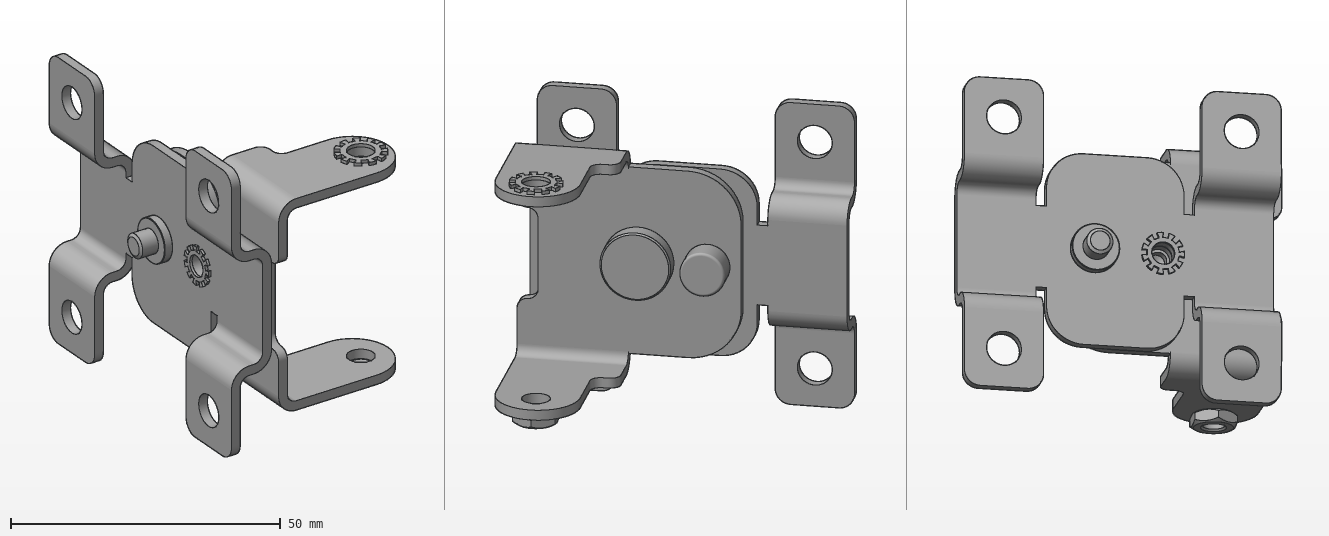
import cadquery as cq
import math


SHEET = 2.0
BEND_INNER = 2.0
BEND_OUTER = BEND_INNER + SHEET
SMALL_RADIUS = 2.0

MOUNT_LENGTH = 60.0
MOUNT_HEIGHT = 60.0
MOUNT_BACK_Y = 9.0
MOUNT_FRONT_Y = MOUNT_BACK_Y - SHEET
WEB_OUTER_Z = 13.0
FOOT_WIDTH = 15.0
FOOT_CORNER = 3.0
FOOT_HOLE_RADIUS = 3.3
FOOT_HOLE_Z = MOUNT_HEIGHT / 2 - FOOT_WIDTH / 2
RELIEF_WIDTH = 2.0
RELIEF_BOTTOM_Z = 7.95
PANEL_HEIGHT = 37.1
PANEL_CORNER = 7.0

PLATE_GAP = 0.25
BRACKET_FRONT_Y = MOUNT_BACK_Y + PLATE_GAP
BRACKET_BACK_Y = BRACKET_FRONT_Y + SHEET
BRACKET_LEFT_X = 19.6
BRACKET_RIGHT_X = 62
BRACKET_CORNER = 10.05
FLANGE_OUTER_Z = 22.2
FLANGE_TIP_Y = 39.25
FLANGE_BASE_X = 40.9
ARM_WIDTH = 16.0
ARM_SHOULDER_Y = 20.2
WINDOW_HALF_HEIGHT = 9.05
WINDOW_DEPTH = 2 * SMALL_RADIUS
FLANGE_HOLE_RADIUS = 2.65
FLANGE_HOLE_TO_TIP = 6.1
FLANGE_HOLE_X = BRACKET_RIGHT_X - ARM_WIDTH / 2
FLANGE_HOLE_Y = FLANGE_TIP_Y - FLANGE_HOLE_TO_TIP

SCREW_X = 26.0
SCREW_RADIUS = 2.5
SCREW_TIP_Y = 1.25
SCREW_TIP_LENGTH = 0.4
SCREW_TIP_INSET = 0.6
SCREW_HEAD_RADIUS = 4.3
SCREW_HEAD_HEIGHT = 5.1
SCREW_HEAD_FILLET = 0.5
WASHER_RADIUS = 4.5
WASHER_THICKNESS = 1.85
WASHER_CHAMFER = 0.1

BOSS_X = 39.0
BOSS_RADIUS = 6.7
BOSS_HEIGHT = 3.35
BOSS_CHAMFER = 0.3
BOSS_DRILL_RADIUS = 1.6
BOSS_DRILL_DEPTH = 1.85
BOSS_CLEARANCE_RADIUS = 2.2
DRILL_POINT_ANGLE = 118

TOOTH_COUNT = 11
BOSS_LOCK_RADIUS = 4.0
BOSS_LOCK_ROOT = 3.05
BOSS_LOCK_SLOT = 1.05
BOSS_LOCK_THICKNESS = 0.55
FLANGE_LOCK_RADIUS = 5.0
FLANGE_LOCK_ROOT = 3.85
FLANGE_LOCK_SLOT = 1.35
FLANGE_LOCK_THICKNESS = 0.7

NUT_ACROSS_FLATS = 8.05
NUT_THICKNESS = 2.6
NUT_BORE_RADIUS = 2.05
NUT_COUNTERSINK = 0.4
NUT_FACE_RADIUS = 3.7
NUT_CHAMFER_ANGLE = 35

BOTH_SIDES = (1, -1)


def cylinder_y(radius, x, y_start, y_end):
    """Cylinder along Y at Z = 0."""
    axis_start = cq.Vector(x, y_start, 0)
    return cq.Workplane(cq.Solid.makeCylinder(radius, y_end - y_start, axis_start, cq.Vector(0, 1, 0)))


def plate_y(x_start, x_end, z_start, z_end, y_start, y_end):
    """Rectangular block given by its limits on each axis."""
    size = (x_end - x_start, y_end - y_start, z_end - z_start)
    return cq.Workplane("XY").box(*size, centered=False).translate((x_start, y_start, z_start))


def step_strip(x_start):
    """Strip with two feet: a flat middle, stepped forward to a foot above and below."""
    foot_bend_z = WEB_OUTER_Z - SHEET + BEND_OUTER
    plate_bend_z = WEB_OUTER_Z - BEND_OUTER
    foot_end_z = MOUNT_HEIGHT / 2
    slant = math.sqrt(0.5)
    foot_centre = (BEND_OUTER, foot_bend_z)
    plate_centre = (MOUNT_BACK_Y - BEND_OUTER, plate_bend_z)

    def foot_bend(radius):
        return (foot_centre[0] - radius * slant, foot_centre[1] - radius * slant)

    def plate_bend(radius):
        return (plate_centre[0] + radius * slant, plate_centre[1] + radius * slant)

    upper_half = (
        cq.Workplane("YZ", origin=(x_start, 0, 0))
        .moveTo(MOUNT_BACK_Y, 0)
        .lineTo(MOUNT_BACK_Y, plate_bend_z)
        .threePointArc(plate_bend(BEND_OUTER), (plate_centre[0], WEB_OUTER_Z))
        .lineTo(foot_centre[0], WEB_OUTER_Z)
        .threePointArc(foot_bend(BEND_INNER), (SHEET, foot_bend_z))
        .lineTo(SHEET, foot_end_z)
        .lineTo(0, foot_end_z)
        .lineTo(0, foot_bend_z)
        .threePointArc(foot_bend(BEND_OUTER), (foot_centre[0], WEB_OUTER_Z - SHEET))
        .lineTo(plate_centre[0], WEB_OUTER_Z - SHEET)
        .threePointArc(plate_bend(BEND_INNER), (MOUNT_FRONT_Y, plate_bend_z))
        .lineTo(MOUNT_FRONT_Y, 0)
        .close()
        .extrude(FOOT_WIDTH)
    )
    strip = upper_half.union(upper_half.mirror("XY"))
    strip = strip.edges("(<Z or >Z) and |Y").fillet(FOOT_CORNER)
    for side in BOTH_SIDES:
        strip = strip.cut(
            cylinder_y(FOOT_HOLE_RADIUS, x_start + FOOT_WIDTH / 2, 0, SHEET)
            .translate((0, 0, side * FOOT_HOLE_Z))
        )
    return strip


def make_mounting_plate():
    """Flat panel carrying four stepped feet, drilled for the screw and for access to the boss."""
    panel_start = FOOT_WIDTH + RELIEF_WIDTH
    panel = plate_y(
        panel_start, MOUNT_LENGTH - panel_start,
        -PANEL_HEIGHT / 2, PANEL_HEIGHT / 2, MOUNT_FRONT_Y, MOUNT_BACK_Y,
    ).edges("|Y").fillet(PANEL_CORNER)
    spine = plate_y(0, MOUNT_LENGTH, -RELIEF_BOTTOM_Z, RELIEF_BOTTOM_Z, MOUNT_FRONT_Y, MOUNT_BACK_Y)
    plate = panel.union(spine)
    for x_start in (0, MOUNT_LENGTH - FOOT_WIDTH):
        plate = plate.union(step_strip(x_start))
    plate = plate.cut(cylinder_y(SCREW_RADIUS, SCREW_X, MOUNT_FRONT_Y, MOUNT_BACK_Y))
    return plate.cut(cylinder_y(BOSS_CLEARANCE_RADIUS, BOSS_X, MOUNT_FRONT_Y, MOUNT_BACK_Y))


def bracket_channel():
    """U profile in YZ, extruded over the width of the flange roots."""
    flange_inner_z = FLANGE_OUTER_Z - SHEET
    outer = plate_y(
        FLANGE_BASE_X, BRACKET_RIGHT_X, -FLANGE_OUTER_Z, FLANGE_OUTER_Z, BRACKET_FRONT_Y, FLANGE_TIP_Y,
    ).edges("<Y and |X").fillet(BEND_OUTER)
    inner = plate_y(
        FLANGE_BASE_X, BRACKET_RIGHT_X, -flange_inner_z, flange_inner_z, BRACKET_BACK_Y, FLANGE_TIP_Y,
    ).edges("<Y and |X").fillet(BEND_INNER)
    return outer.cut(inner)


def flange_outline():
    """Prism with the outline of both flanges seen along Z: root, shoulder and round-ended arm."""
    arm_radius = ARM_WIDTH / 2
    arm_left_x = BRACKET_RIGHT_X - ARM_WIDTH
    return (
        cq.Workplane("XY", origin=(0, 0, -FLANGE_OUTER_Z))
        .moveTo(FLANGE_BASE_X, BRACKET_FRONT_Y)
        .lineTo(BRACKET_RIGHT_X, BRACKET_FRONT_Y)
        .lineTo(BRACKET_RIGHT_X, FLANGE_TIP_Y - arm_radius)
        .threePointArc((FLANGE_HOLE_X, FLANGE_TIP_Y), (arm_left_x, FLANGE_TIP_Y - arm_radius))
        .lineTo(arm_left_x, ARM_SHOULDER_Y + SMALL_RADIUS)
        .radiusArc((arm_left_x - SMALL_RADIUS, ARM_SHOULDER_Y), SMALL_RADIUS)
        .lineTo(FLANGE_BASE_X + SMALL_RADIUS, ARM_SHOULDER_Y)
        .radiusArc((FLANGE_BASE_X, ARM_SHOULDER_Y - SMALL_RADIUS), -SMALL_RADIUS)
        .close()
        .extrude(2 * FLANGE_OUTER_Z)
    )


def bracket_window():
    """Notch in the right edge of the bracket plate, with an S-shaped top and bottom end."""
    mouth_half = WINDOW_HALF_HEIGHT + SMALL_RADIUS
    inner_x = BRACKET_RIGHT_X - WINDOW_DEPTH
    throat_x = BRACKET_RIGHT_X - SMALL_RADIUS
    end_half = WINDOW_HALF_HEIGHT - SMALL_RADIUS
    return (
        cq.Workplane("XZ", origin=(0, BRACKET_BACK_Y, 0))
        .moveTo(BRACKET_RIGHT_X, -mouth_half)
        .lineTo(BRACKET_RIGHT_X, mouth_half)
        .radiusArc((throat_x, WINDOW_HALF_HEIGHT), SMALL_RADIUS)
        .radiusArc((inner_x, end_half), -SMALL_RADIUS)
        .lineTo(inner_x, -end_half)
        .radiusArc((throat_x, -WINDOW_HALF_HEIGHT), -SMALL_RADIUS)
        .radiusArc((BRACKET_RIGHT_X, -mouth_half), SMALL_RADIUS)
        .close()
        .extrude(SHEET)
    )


def make_bracket():
    """Plate behind the mounting plate with two flanges bent backwards."""
    plate = plate_y(
        BRACKET_LEFT_X, FLANGE_BASE_X, -PANEL_HEIGHT / 2, PANEL_HEIGHT / 2, BRACKET_FRONT_Y, BRACKET_BACK_Y,
    ).edges("<X and |Y").fillet(BRACKET_CORNER)
    flanges = bracket_channel().intersect(flange_outline())
    bracket = plate.union(flanges).cut(bracket_window())
    bracket = bracket.cut(cylinder_y(SCREW_RADIUS, SCREW_X, BRACKET_FRONT_Y, BRACKET_BACK_Y))
    bracket = bracket.cut(cylinder_y(BOSS_CLEARANCE_RADIUS, BOSS_X, BRACKET_FRONT_Y, BRACKET_BACK_Y))
    flange_holes = (
        cq.Workplane("XY", origin=(FLANGE_HOLE_X, FLANGE_HOLE_Y, -FLANGE_OUTER_Z))
        .circle(FLANGE_HOLE_RADIUS)
        .extrude(2 * FLANGE_OUTER_Z)
    )
    return bracket.cut(flange_holes)


def make_screw():
    """Cylinder-head screw, its head on the bracket and its tip at the front."""
    head_end_y = BRACKET_BACK_Y + SCREW_HEAD_HEIGHT
    head = cylinder_y(SCREW_HEAD_RADIUS, SCREW_X, BRACKET_BACK_Y, head_end_y)
    head = head.faces(">Y").edges().fillet(SCREW_HEAD_FILLET)
    shank = cylinder_y(SCREW_RADIUS, SCREW_X, SCREW_TIP_Y, BRACKET_BACK_Y)
    shank = shank.faces("<Y").edges().chamfer(SCREW_TIP_LENGTH, SCREW_TIP_INSET)
    return head.union(shank)


def make_screw_washer():
    """Plain thick washer around the screw, against the front of the mounting plate."""
    washer = cylinder_y(WASHER_RADIUS, SCREW_X, MOUNT_FRONT_Y - WASHER_THICKNESS, MOUNT_FRONT_Y)
    washer = washer.edges("%CIRCLE").chamfer(WASHER_CHAMFER)
    return washer.cut(cylinder_y(SCREW_RADIUS, SCREW_X, SCREW_TIP_Y, MOUNT_FRONT_Y))


def make_tapped_boss():
    """Round boss behind the bracket, with a blind drilled hole open to the front."""
    boss = cylinder_y(BOSS_RADIUS, BOSS_X, BRACKET_BACK_Y, BRACKET_BACK_Y + BOSS_HEIGHT)
    boss = boss.faces(">Y").edges().chamfer(BOSS_CHAMFER)
    wall_end_y = BRACKET_BACK_Y + BOSS_DRILL_DEPTH
    point_y = wall_end_y + BOSS_DRILL_RADIUS / math.tan(math.radians(DRILL_POINT_ANGLE / 2))
    drill = (
        cq.Workplane("XY", origin=(BOSS_X, 0, 0))
        .moveTo(0, BRACKET_BACK_Y)
        .lineTo(BOSS_DRILL_RADIUS, BRACKET_BACK_Y)
        .lineTo(BOSS_DRILL_RADIUS, wall_end_y)
        .lineTo(0, point_y)
        .close()
        .revolve(360, (0, 0, 0), (0, 1, 0))
    )
    return boss.cut(drill)


def make_lock_washer(radius, root_radius, slot_width, hole_radius, thickness):
    """Externally toothed washer standing on Z = 0, with one slot pointing along -X."""
    washer = cq.Workplane("XY").circle(radius).circle(hole_radius).extrude(thickness)
    slot = cq.Workplane("XY").box(radius, slot_width, thickness, centered=(False, True, False))
    slot = slot.translate((root_radius, 0, 0))
    for index in range(TOOTH_COUNT):
        angle = 180 + index * 360 / TOOTH_COUNT
        washer = washer.cut(slot.rotate((0, 0, 0), (0, 0, 1), angle))
    return washer


def make_boss_lock_washer():
    """Lock washer on the front of the mounting plate, around the clearance hole."""
    washer = make_lock_washer(
        BOSS_LOCK_RADIUS, BOSS_LOCK_ROOT, BOSS_LOCK_SLOT, BOSS_CLEARANCE_RADIUS, BOSS_LOCK_THICKNESS,
    )
    return washer.rotate((0, 0, 0), (1, 0, 0), 90).translate((BOSS_X, MOUNT_FRONT_Y, 0))


def make_flange_lock_washer():
    """Lock washer on top of the upper flange, turned to point one slot along -Y."""
    washer = make_lock_washer(
        FLANGE_LOCK_RADIUS, FLANGE_LOCK_ROOT, FLANGE_LOCK_SLOT, FLANGE_HOLE_RADIUS, FLANGE_LOCK_THICKNESS,
    )
    washer = washer.rotate((0, 0, 0), (0, 0, 1), 90)
    return washer.translate((FLANGE_HOLE_X, FLANGE_HOLE_Y, FLANGE_OUTER_Z))


def make_hex_nut():
    """Nut under the lower flange, its corners chamfered and its bore countersunk at both ends."""
    corner_radius = NUT_ACROSS_FLATS / math.sqrt(3)
    chamfer_height = (corner_radius - NUT_FACE_RADIUS) * math.tan(math.radians(NUT_CHAMFER_ANGLE))
    hexagon = (
        cq.Workplane("XY")
        .polygon(6, 2 * corner_radius)
        .extrude(NUT_THICKNESS)
        .rotate((0, 0, 0), (0, 0, 1), 90)
    )
    envelope = (
        cq.Workplane("XY")
        .circle(corner_radius)
        .extrude(NUT_THICKNESS)
        .edges("%CIRCLE and >Z")
        .chamfer(chamfer_height, corner_radius - NUT_FACE_RADIUS)
        .edges("%CIRCLE and <Z")
        .chamfer(chamfer_height, corner_radius - NUT_FACE_RADIUS)
    )
    bore = (
        cq.Workplane("XZ")
        .lineTo(NUT_BORE_RADIUS + NUT_COUNTERSINK, 0)
        .lineTo(NUT_BORE_RADIUS, NUT_COUNTERSINK)
        .lineTo(NUT_BORE_RADIUS, NUT_THICKNESS - NUT_COUNTERSINK)
        .lineTo(NUT_BORE_RADIUS + NUT_COUNTERSINK, NUT_THICKNESS)
        .lineTo(0, NUT_THICKNESS)
        .close()
        .revolve(360, (0, 0, 0), (0, 1, 0))
    )
    nut = hexagon.intersect(envelope).cut(bore)
    return nut.translate((FLANGE_HOLE_X, FLANGE_HOLE_Y, -FLANGE_OUTER_Z - NUT_THICKNESS))


mounting_plate = make_mounting_plate()
bracket = make_bracket()
screw = make_screw()
screw_washer = make_screw_washer()
tapped_boss = make_tapped_boss()
boss_lock_washer = make_boss_lock_washer()
flange_lock_washer = make_flange_lock_washer()
hex_nut = make_hex_nut()

result = cq.Compound.makeCompound([
    mounting_plate.val(),
    bracket.val(),
    screw.val(),
    screw_washer.val(),
    tapped_boss.val(),
    boss_lock_washer.val(),
    flange_lock_washer.val(),
    hex_nut.val(),
])